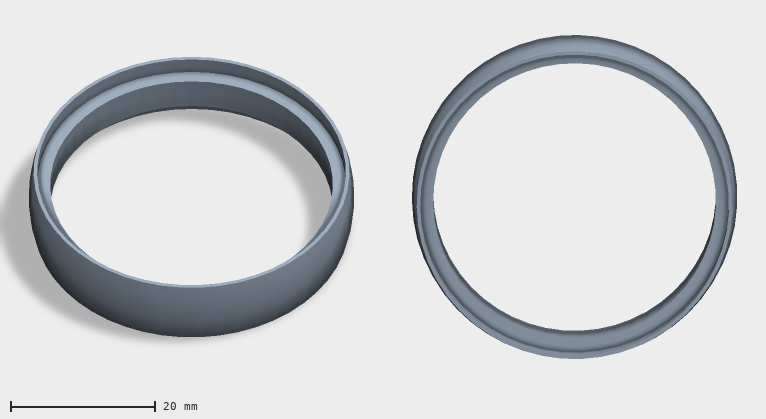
import cadquery as cq

outer_diameter = 44.95
rim_diameter = 43.6
ring_height = 10.0
bore_diameter = 39.0
counterbore_diameter = 42.6
counterbore_depth = 2.5

half_height = ring_height / 2
outer_radius = outer_diameter / 2
rim_radius = rim_diameter / 2


def crowned_disc():
    """Solid disc, centred on the origin, whose outer wall bulges out from both rims."""
    half_profile = (
        cq.Workplane("XZ")
        .moveTo(0, -half_height)
        .lineTo(rim_radius, -half_height)
        .threePointArc((outer_radius, 0), (rim_radius, half_height))
        .lineTo(0, half_height)
        .close()
    )
    return half_profile.revolve(360, (0, 0, 0), (0, 1, 0))


def cylinder(diameter, bottom, height):
    """Cylinder on the ring axis, starting at the given Z."""
    return cq.Workplane("XY").workplane(offset=bottom).circle(diameter / 2).extrude(height)


ring = crowned_disc().cut(cylinder(bore_diameter, -half_height, ring_height))

for counterbore_bottom in (-half_height, half_height - counterbore_depth):
    ring = ring.cut(cylinder(counterbore_diameter, counterbore_bottom, counterbore_depth))

result = ring